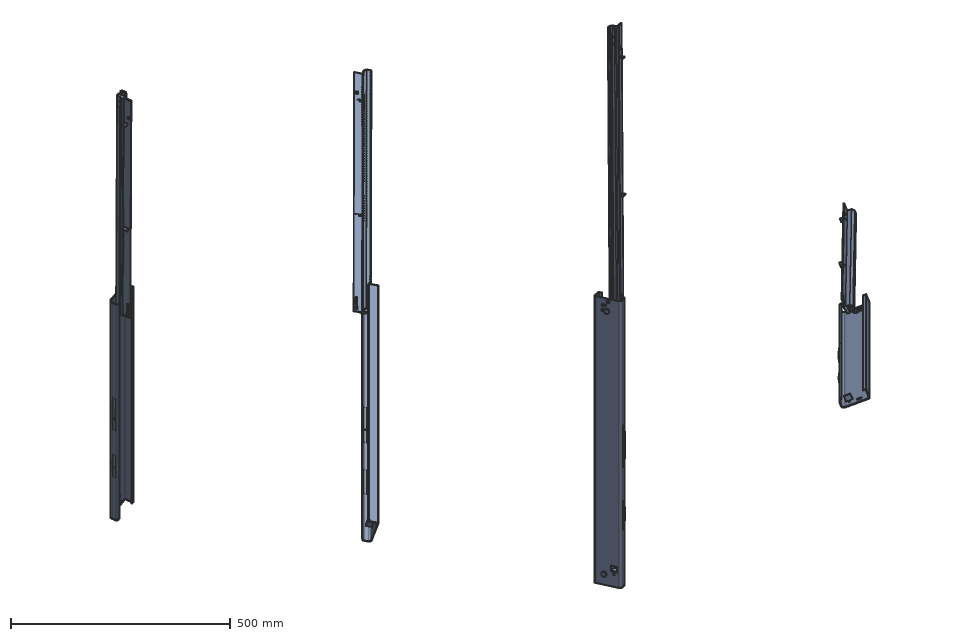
import cadquery as cq

TOTAL_HEIGHT = 1415.0
TOTAL_WIDTH = 50.0
TOTAL_DEPTH = 71.0
RAIL_LENGTH = 730.0
CHANNEL_SHEET = 2.1
SLIDE_SHEET = 3.0

CHANNEL_BOTTOM = -TOTAL_HEIGHT / 2
CHANNEL_TOP = CHANNEL_BOTTOM + RAIL_LENGTH
SLIDE_TOP = TOTAL_HEIGHT / 2
SLIDE_BOTTOM = SLIDE_TOP - RAIL_LENGTH

WEB_X = -21.0
CHANNEL_RIGHT = 3.0
BUMP_HEIGHT = 1.8
CHANNEL_Y_MAX = TOTAL_DEPTH / 2
BUMP_Y = -TOTAL_DEPTH / 2
CHANNEL_Y_MIN = BUMP_Y + BUMP_HEIGHT
CHANNEL_CORNER_R = 3.0
CHANNEL_ROUND_R = 7.0
UPPER_LIP_Y = 27.0
LOWER_LIP_Y = -25.0
LIP_SETBACK = 4.0

BOSS_X = -TOTAL_WIDTH / 2
BOSS_R = 6.4
UPPER_BOSS = (2.1, -8.0)
LOWER_BOSS = (9.2, -679.0)
TAB_Y = (-23.0, -7.0)
TAB_TIP_X = -5.0
TAB_TOP = -666.0
TAB_THICKNESS = 4.0
WINDOW_HEIGHT = 11.0
RELIEF_WIDTH = 3.0
RELIEF_DEPTH = 7.0
WEB_SLOT = (10.6, 4.0)
WEB_SLOT_LENGTH = 11.0
WEB_SLOT_WIDTH = 4.0
WEB_HOLES = [((0.0, 15.0), 3.5), ((14.0, -8.0), 3.0)]

BUMP_LEFT = -11.0
BUMP_RIGHT = -3.0
BUMP_RAMP = 37.0
PLATEAU_BUMP_TOP = -296.0
PLATEAU_LENGTH = 31.0
RAMP_BUMP_TOP = -366.0
PEAK_BUMP_TOP = -488.0

SLIDE_LEAN = 0.006
SLIDE_LEFT = -13.0
SLIDE_WEB_X = 5.0
SLIDE_Y_MAX = 6.1
SLIDE_HEIGHT = 21.0
SLIDE_CORNER = 5.0
HOOK_BEVEL = 3.0
HOOK_TAPER_Y = -1.0
HOOK_EDGE_Y = -3.7
HOOK_EDGE_WIDTH = 1.0
LIP_TOP_Y = -6.4
LIP_BOTTOM_Y = -13.0
LIP_RIGHT = -4.0
FOOT_LEFT = 0.7
FLANGE_RIGHT = TOTAL_WIDTH / 2
FLANGE_FRONT_Y = -13.0
FLANGE_BACK_Y = FLANGE_FRONT_Y + SLIDE_SHEET

FLANGE_HOLE_X = 18.0
FLANGE_HOLE_R = 3.5
FLANGE_HOLE_Z = [647.0, -11.0]
FLANGE_SLOT_WIDTH = 3.5
FLANGE_SLOT_TOP = 21.0
FLANGE_SLOT_BOTTOM = -3.0
TONGUE_LEFT = 8.0
TONGUE_THICKNESS = 2.1
TONGUE_TIP_Y = -24.0
TONGUE_WINDOW = 4.0
TONGUES = [(628.0, 17.0), (277.0, 21.0)]
LIP_HOLE_R = 2.1
LIP_HOLE_DEPTH = 8.0
LIP_HOLE_Z = [688.0, 670.0]
HOOK_NOTCH_LENGTH = 45.0
HOOK_NOTCH_Y = 0.7


def block(x, y, z):
    """Box given by its (low, high) limits along each axis."""
    size = (x[1] - x[0], y[1] - y[0], z[1] - z[0])
    return cq.Workplane("XY").box(*size, centered=False).translate((x[0], y[0], z[0]))


def rod_along_x(y, z, radius, x_start, x_end):
    return cq.Workplane("YZ", origin=(x_start, y, z)).circle(radius).extrude(x_end - x_start)


def slide_shift(z):
    """Y offset of the leaning slide at height z."""
    return -SLIDE_LEAN * (SLIDE_TOP - z)


def channel_solid(inset):
    """Rounded bar following the channel outside, shrunk by inset."""
    bar = block(
        (WEB_X + inset, CHANNEL_RIGHT - inset),
        (CHANNEL_Y_MIN + inset, CHANNEL_Y_MAX - inset),
        (CHANNEL_BOTTOM, CHANNEL_TOP),
    )
    bar = bar.edges("|Z").edges("<Y").fillet(CHANNEL_ROUND_R - inset)
    if inset < CHANNEL_CORNER_R:
        bar = bar.edges("|Z").edges(">Y").edges("<X").fillet(CHANNEL_CORNER_R - inset)
    return bar


def channel_sheet():
    mouth = block(
        (CHANNEL_RIGHT - CHANNEL_SHEET, CHANNEL_RIGHT),
        (LOWER_LIP_Y, UPPER_LIP_Y),
        (CHANNEL_BOTTOM, CHANNEL_TOP),
    )
    setback = block(
        (CHANNEL_RIGHT - CHANNEL_SHEET, CHANNEL_RIGHT),
        (CHANNEL_Y_MIN, CHANNEL_Y_MAX),
        (CHANNEL_BOTTOM, CHANNEL_BOTTOM + LIP_SETBACK),
    )
    return channel_solid(0).cut(channel_solid(CHANNEL_SHEET)).cut(mouth).cut(setback)


def bump(yz_points):
    outline = cq.Workplane("YZ", origin=(BUMP_LEFT, 0, 0)).polyline(yz_points).close()
    return outline.extrude(BUMP_RIGHT - BUMP_LEFT)


def flange_bumps():
    base = CHANNEL_Y_MIN + CHANNEL_SHEET / 2
    face = CHANNEL_Y_MIN
    plateau_start = PLATEAU_BUMP_TOP - BUMP_RAMP
    plateau_end = plateau_start - PLATEAU_LENGTH
    ramp_end = RAMP_BUMP_TOP - BUMP_RAMP
    peak = PEAK_BUMP_TOP - BUMP_RAMP
    peak_end = peak - BUMP_RAMP
    return [
        bump([(base, PLATEAU_BUMP_TOP), (face, PLATEAU_BUMP_TOP), (BUMP_Y, plateau_start),
              (BUMP_Y, plateau_end), (base, plateau_end)]),
        bump([(base, RAMP_BUMP_TOP), (BUMP_Y, RAMP_BUMP_TOP), (face, ramp_end), (base, ramp_end)]),
        bump([(base, PEAK_BUMP_TOP), (face, PEAK_BUMP_TOP), (BUMP_Y, peak),
              (face, peak_end), (base, peak_end)]),
    ]


def web_plane(position):
    y, z = position
    return cq.Workplane("YZ", origin=(WEB_X, y, z))


def web_openings():
    through = (WEB_X, WEB_X + CHANNEL_SHEET)
    tab_bottom = TAB_TOP - TAB_THICKNESS
    tab_middle = sum(TAB_Y) / 2
    relief_sides = (tab_middle - RELIEF_WIDTH / 2, tab_middle + RELIEF_WIDTH / 2)
    openings = [
        block(through, TAB_Y, (TAB_TOP, TAB_TOP + WINDOW_HEIGHT)),
        block(through, relief_sides, (tab_bottom - RELIEF_DEPTH, tab_bottom)),
        web_plane(WEB_SLOT).slot2D(WEB_SLOT_LENGTH, WEB_SLOT_WIDTH).extrude(CHANNEL_SHEET),
    ]
    for position, radius in WEB_HOLES:
        openings.append(web_plane(position).circle(radius).extrude(CHANNEL_SHEET))
    return openings


def make_channel():
    channel = channel_sheet()
    for opening in web_openings():
        channel = channel.cut(opening)
    channel = channel.union(block((WEB_X, TAB_TIP_X), TAB_Y, (TAB_TOP - TAB_THICKNESS, TAB_TOP)))
    for y, z in (UPPER_BOSS, LOWER_BOSS):
        channel = channel.union(rod_along_x(y, z, BOSS_R, BOSS_X, WEB_X + CHANNEL_SHEET))
    for raised in flange_bumps():
        channel = channel.union(raised)
    return channel


def slide_sheet():
    """Hooked C section with a side flange, drawn at the top end and run down along the lean."""
    web_left = SLIDE_WEB_X - SLIDE_SHEET
    hook_right = SLIDE_LEFT + SLIDE_SHEET
    hook_ceiling = SLIDE_Y_MAX - SLIDE_SHEET
    foot_y = SLIDE_Y_MAX - SLIDE_HEIGHT
    outline = [
        (hook_right - HOOK_EDGE_WIDTH, HOOK_EDGE_Y),
        (SLIDE_LEFT, HOOK_TAPER_Y),
        (SLIDE_LEFT, SLIDE_Y_MAX - HOOK_BEVEL),
        (SLIDE_LEFT + HOOK_BEVEL, SLIDE_Y_MAX),
        (SLIDE_WEB_X - SLIDE_CORNER, SLIDE_Y_MAX),
        (SLIDE_WEB_X, SLIDE_Y_MAX - SLIDE_CORNER),
        (SLIDE_WEB_X, FLANGE_BACK_Y),
        (FLANGE_RIGHT, FLANGE_BACK_Y),
        (FLANGE_RIGHT, FLANGE_FRONT_Y),
        (SLIDE_WEB_X, FLANGE_FRONT_Y),
        (SLIDE_WEB_X, foot_y),
        (FOOT_LEFT, foot_y),
        (LIP_RIGHT, LIP_BOTTOM_Y),
        (SLIDE_LEFT, LIP_BOTTOM_Y),
        (SLIDE_LEFT, LIP_TOP_Y),
        (web_left, LIP_TOP_Y),
        (web_left, hook_ceiling - SLIDE_CORNER + SLIDE_SHEET / 2),
        (web_left - SLIDE_CORNER + SLIDE_SHEET / 2, hook_ceiling),
        (hook_right, hook_ceiling),
        (hook_right, HOOK_EDGE_Y),
    ]
    wire = cq.Workplane("XY", origin=(0, 0, SLIDE_TOP)).polyline(outline).close().val()
    run = cq.Vector(0, slide_shift(SLIDE_BOTTOM), -RAIL_LENGTH)
    return cq.Workplane(cq.Solid.extrudeLinear(cq.Face.makeFromWires(wire), run))


def flange_plane(z):
    """Sketch plane on the back of the flange, facing -Y, on the hole line at height z."""
    return cq.Workplane("XZ", origin=(FLANGE_HOLE_X, FLANGE_BACK_Y, z))


def flange_openings():
    depth = FLANGE_BACK_Y - FLANGE_FRONT_Y - slide_shift(SLIDE_BOTTOM)
    slot_length = FLANGE_SLOT_TOP - FLANGE_SLOT_BOTTOM
    slot_z = (FLANGE_SLOT_TOP + FLANGE_SLOT_BOTTOM) / 2
    openings = [flange_plane(slot_z).slot2D(slot_length, FLANGE_SLOT_WIDTH, 90).extrude(depth)]
    for z in FLANGE_HOLE_Z:
        openings.append(flange_plane(z).circle(FLANGE_HOLE_R).extrude(depth))
    return openings


def make_slide():
    slide = slide_sheet()
    for opening in flange_openings():
        slide = slide.cut(opening)
    lip_middle = (LIP_TOP_Y + LIP_BOTTOM_Y) / 2
    for z in LIP_HOLE_Z:
        hole_y = lip_middle + slide_shift(z)
        slide = slide.cut(rod_along_x(hole_y, z, LIP_HOLE_R, SLIDE_LEFT, SLIDE_LEFT + LIP_HOLE_DEPTH))
    notch_bottom = SLIDE_TOP - HOOK_NOTCH_LENGTH
    notch = block(
        (SLIDE_LEFT, SLIDE_LEFT + SLIDE_SHEET),
        (HOOK_EDGE_Y + slide_shift(notch_bottom), HOOK_NOTCH_Y),
        (notch_bottom, SLIDE_TOP),
    )
    slide = slide.cut(notch)
    for z_top, right_end in TONGUES:
        back_y = FLANGE_BACK_Y + slide_shift(z_top) - SLIDE_SHEET / 2
        sides = (TONGUE_LEFT, right_end)
        z_under = z_top - TONGUE_THICKNESS
        window_sides = (TONGUE_LEFT, TONGUE_LEFT + TONGUE_WINDOW)
        window_heights = (z_under - TONGUE_WINDOW, z_under)
        slide = slide.cut(block(window_sides, (TONGUE_TIP_Y, FLANGE_BACK_Y), window_heights))
        slide = slide.union(block(sides, (TONGUE_TIP_Y, back_y), (z_under, z_top)))
    return slide


channel = make_channel()
slide = make_slide()

result = cq.Compound.makeCompound([channel.val(), slide.val()])